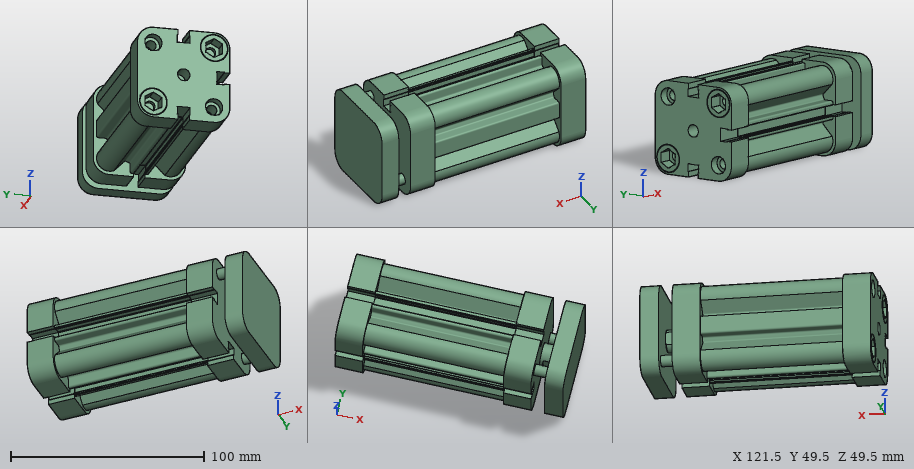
import cadquery as cq
import math

cap_length = 14.7
housing_length = 104.5
front_cap_start = housing_length - cap_length
plate_start = 111.5
overall_length = 121.5

side = 49.5
half_side = side / 2
corner_offset = 16.3
corner_radius = half_side - corner_offset

barrel_radius = 18.1
lobe_radius = 6.7
stem_width = 12.4
stem_fillet = 0.9
tube_height = corner_offset + lobe_radius
rib_width = 10.0
rib_rounding = 1.0

cap_cavity_width = 6.9
cap_mouth_width = 6.2
cap_mouth_depth = 2.9
cap_slot_floor = 17.7
tube_cavity_width = 6.7
tube_mouth_width = 5.5
tube_lip_thickness = 1.6
tube_lip_chamfer = 0.4
tube_slot_floor = barrel_radius
slot_turns = (0, 90, 180)

centre_hole_diameter = 6.6
centre_hole_depth = 9.7
counterbore_diameter = 9.1
counterbore_depth = 5.0
thread_diameter = 5.5

plug_recess_diameter = 14.8
plug_diameter = 14.2
plug_length = 9.7
socket_width = 9.0
socket_depth = 7.3

guide_rod_diameter = 6.0
guide_rod_start = cap_length

piston_rod_diameter = 12.0
piston_rod_start = cap_length
piston_rod_chamfer = 0.4
flats_width = 10.0
flats_start = 106.0
flats_cutter_radius = 12.2

guide_corners = [(-corner_offset, corner_offset), (corner_offset, -corner_offset)]
mounting_corners = [(-corner_offset, -corner_offset), (corner_offset, corner_offset)]


def section_at(x):
    """Workplane across the cylinder axis: local x is Y, local y is Z."""
    return cq.Workplane("YZ", origin=(x, 0, 0))


def turned(body, degrees):
    return body.rotate((0, 0, 0), (1, 0, 0), degrees)


def cylinders(start, end, diameter, places):
    return section_at(start).pushPoints(places).circle(diameter / 2).extrude(end - start)


def rounded_square(start, end):
    block = section_at(start).rect(side, side).extrude(end - start)
    return block.edges("|X").fillet(corner_radius)


def mirrored_slot(start, end, right_side):
    """Slot on the +Z side, from the points of its right half listed from floor to opening."""
    left_side = [(-y, z) for y, z in reversed(right_side)]
    return section_at(start).polyline(right_side + left_side).close().extrude(end - start)


def cap_slot(start, end):
    cavity = cap_cavity_width / 2
    mouth = cap_mouth_width / 2
    mouth_bottom = half_side - cap_mouth_depth
    return mirrored_slot(start, end, [
        (cavity, cap_slot_floor),
        (cavity, mouth_bottom),
        (mouth, mouth_bottom),
        (mouth, half_side),
    ])


def tube_slot(start, end):
    cavity = tube_cavity_width / 2
    mouth = tube_mouth_width / 2
    lip_bottom = tube_height - tube_lip_thickness
    return mirrored_slot(start, end, [
        (cavity - tube_lip_chamfer, tube_slot_floor),
        (cavity, tube_slot_floor + tube_lip_chamfer),
        (cavity, lip_bottom),
        (mouth + tube_lip_chamfer, lip_bottom),
        (mouth, lip_bottom + tube_lip_chamfer),
        (mouth, tube_height - tube_lip_chamfer),
        (mouth + tube_lip_chamfer, tube_height),
    ])


def make_cap(start, end):
    cap = rounded_square(start, end)
    for degrees in slot_turns:
        cap = cap.cut(turned(cap_slot(start, end), degrees))
    return cap


def lies_on_barrel(edge):
    place = edge.Center()
    return math.isclose(math.hypot(place.y, place.z), barrel_radius, abs_tol=0.01)


def joins_barrel_and_stem(edge):
    place = edge.Center()
    diagonal_gap = abs(abs(place.y) - abs(place.z)) / math.sqrt(2)
    return lies_on_barrel(edge) and math.isclose(diagonal_gap, stem_width / 2, abs_tol=0.01)


def joins_barrel_and_rib(edge):
    place = edge.Center()
    axis_gap = min(abs(place.y), abs(place.z))
    return lies_on_barrel(edge) and math.isclose(axis_gap, rib_width / 2, abs_tol=0.01)


def crossed_stems(start, end, reach):
    """Two bars along the diagonals, each reaching the same distance either side of the axis."""
    bar = section_at(start).rect(2 * reach, stem_width).extrude(end - start)
    return turned(bar, 45).union(turned(bar, 135))


def make_tube():
    start = cap_length
    length = front_cap_start - start
    tube = section_at(start).circle(barrel_radius).extrude(length)

    centre_distance = corner_offset * math.sqrt(2)
    tube = tube.union(crossed_stems(start, front_cap_start, centre_distance))
    tube = tube.edges("|X").filter(joins_barrel_and_stem).fillet(stem_fillet)

    lobes = cylinders(start, front_cap_start, 2 * lobe_radius, guide_corners + mounting_corners)
    tube = tube.union(lobes.intersect(crossed_stems(start, front_cap_start, centre_distance + lobe_radius)))

    ribs = section_at(start).rect(rib_width, 2 * tube_height).extrude(length).edges("|X").fillet(rib_rounding)
    tube = tube.union(ribs).union(turned(ribs, 90))
    tube = tube.edges("|X").filter(joins_barrel_and_rib).fillet(rib_rounding)
    for degrees in slot_turns:
        tube = tube.cut(turned(tube_slot(start, front_cap_start), degrees))
    return tube


def make_housing():
    housing = make_cap(0, cap_length).union(make_tube())
    housing = housing.union(make_cap(front_cap_start, housing_length))

    housing = housing.cut(cylinders(0, centre_hole_depth, centre_hole_diameter, [(0, 0)]))
    housing = housing.cut(cylinders(0, counterbore_depth, counterbore_diameter, mounting_corners))
    housing = housing.cut(cylinders(0, cap_length, thread_diameter, mounting_corners))
    housing = housing.cut(cylinders(0, plug_length, plug_recess_diameter, guide_corners))

    housing = housing.cut(cylinders(guide_rod_start, housing_length, guide_rod_diameter, guide_corners))
    return housing.cut(cylinders(piston_rod_start, housing_length, piston_rod_diameter, [(0, 0)]))


def make_plug(place):
    plug = cylinders(0, plug_length, plug_diameter, [place])
    socket = section_at(0).polygon(6, socket_width, circumscribed=True).extrude(socket_depth)
    socket = socket.translate((0, *place))
    return plug.cut(socket).cut(cylinders(0, plug_length, thread_diameter, [place]))


def make_piston_rod():
    rod = cylinders(piston_rod_start, plate_start, piston_rod_diameter, [(0, 0)])
    rod = rod.faces(">X").chamfer(piston_rod_chamfer)

    cutter = (
        cq.Workplane("XZ")
        .center(flats_start + flats_cutter_radius, 0)
        .circle(flats_cutter_radius)
        .extrude(piston_rod_diameter)
        .translate((0, -flats_width / 2, 0))
    )
    return rod.cut(cutter).cut(turned(cutter, 180))


def make_guide_plate():
    plate = rounded_square(plate_start, overall_length)
    return plate.union(cylinders(guide_rod_start, plate_start, guide_rod_diameter, guide_corners))


housing = make_housing()
plugs = [make_plug(place) for place in guide_corners]
piston_rod = make_piston_rod()
guide_plate = make_guide_plate()

result = cq.Compound.makeCompound([
    housing.val(),
    *[plug.val() for plug in plugs],
    piston_rod.val(),
    guide_plate.val(),
])